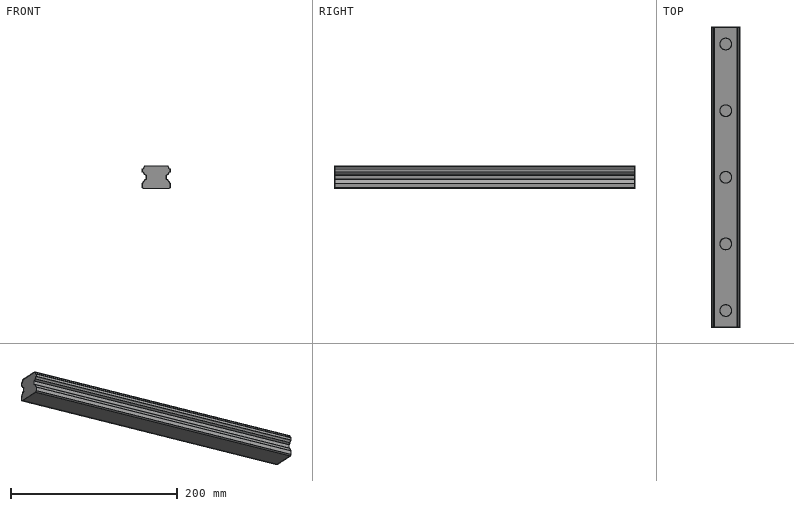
import cadquery as cq

length = 360.0
width = 34.0
height = 27.5

top_chamfer_width = 1.5
top_chamfer_depth = 1.0
shoulder_half_width = 14.8
rib_top = 4.0
rib_bottom = 7.2
groove_sag = 0.7
lower_groove_end = 9.7
waist_half_width = 12.2
waist_top = 11.5
waist_bottom = 16.0
ledge_half_width = 13.5
ledge_depth = 16.5
foot_top = 21.2
foot_chamfer_width = 1.8
foot_chamfer_height = 1.5

cap_count = 5
cap_pitch = 80.0
cap_diameter = 14.0
cap_recess = 0.5

half_width = width / 2
top = height / 2


def rail_half():
    """Right half of the rail section (X >= 0), extruded along the full length."""
    outline = (
        cq.Workplane("XZ")
        .moveTo(0, top)
        .lineTo(shoulder_half_width - top_chamfer_width, top)
        .lineTo(shoulder_half_width, top - top_chamfer_depth)
        .sagittaArc((half_width, top - rib_top), -groove_sag)
        .lineTo(half_width, top - rib_bottom)
        .sagittaArc((shoulder_half_width, top - lower_groove_end), -groove_sag)
        .lineTo(waist_half_width, top - waist_top)
        .lineTo(waist_half_width, top - waist_bottom)
        .lineTo(ledge_half_width, top - ledge_depth)
        .lineTo(half_width, top - foot_top)
        .lineTo(half_width, foot_chamfer_height - top)
        .lineTo(half_width - foot_chamfer_width, -top)
        .lineTo(0, -top)
        .close()
    )
    return outline.extrude(length / 2, both=True)


def cap_recesses():
    """Row of shallow discs to cut from the top face."""
    return (
        cq.Workplane("XY", origin=(0, 0, top - cap_recess))
        .rarray(3.5, cap_pitch, 1, cap_count)
        .circle(cap_diameter / 2)
        .extrude(cap_recess)
    )


half = rail_half()
rail = half.union(half.mirror("YZ"))
result = rail.cut(cap_recesses())